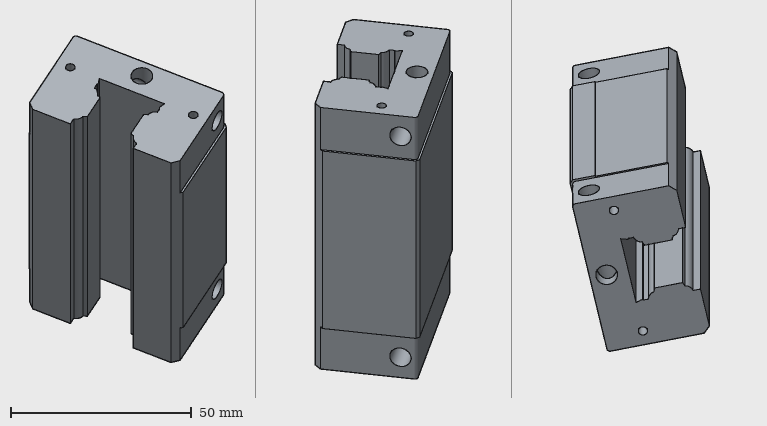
import cadquery as cq
import math

length = 85.6
body_width = 48.0
body_height = 29.9
cap_length = 13.8
cap_width = 46.7
cap_height = 29.3
body_back_chamfer = 0.9
cap_back_radius = 0.9
foot_half_width = 21.5

relief_depth = 0.25
relief_top = 22.6

channel_half_width = 9.8
channel_depth = 18.3
channel_back_half_width = 10.1
lip_half_width = 9.5
lip_y = 16.4
rib_half_width = 6.8
rib_middle_y = 8.4
rib_half_height = 3.9
track_edge_half_width = 7.9
track_edge_offset = 4.4
track_radius = 2.5
track_end_offset = 6.3

port_diameter = 6.0
port_y = 24.5
cross_hole_inset = 6.7

screw_hole_diameter = 2.6
screw_hole_spacing = 38.2
screw_hole_y = 18.3
screw_hole_depth = 8.6
drill_point_angle = 118.0

body_length = length - 2 * cap_length


def block(width, height, block_length):
    """Block centred on Z = 0, standing on Y = 0, its open-side corners cut at 45 degrees."""
    return (
        cq.Workplane("XY")
        .box(width, height, block_length)
        .translate((0, height / 2, 0))
        .edges("|Z and <Y")
        .chamfer(width / 2 - foot_half_width)
    )


def side_relief():
    """Shallow step along the body on the -X side."""
    return (
        cq.Workplane("XY")
        .box(relief_depth, relief_top, body_length)
        .translate(((relief_depth - body_width) / 2, relief_top / 2, 0))
    )


def half_channel():
    """Right half of the rail channel over the full length."""
    chord_x = channel_half_width - track_edge_half_width
    chord_y = track_end_offset - track_edge_offset
    chord = math.hypot(chord_x, chord_y)
    rise = track_radius - math.sqrt(track_radius**2 - (chord / 2) ** 2)
    track_middle_x = (channel_half_width + track_edge_half_width) / 2 - rise * chord_y / chord
    track_middle_offset = (track_edge_offset + track_end_offset) / 2 + rise * chord_x / chord

    return (
        cq.Workplane("XY")
        .moveTo(0, 0)
        .lineTo(channel_half_width, 0)
        .lineTo(channel_half_width, rib_middle_y - track_end_offset)
        .threePointArc(
            (track_middle_x, rib_middle_y - track_middle_offset),
            (track_edge_half_width, rib_middle_y - track_edge_offset),
        )
        .lineTo(rib_half_width, rib_middle_y - rib_half_height)
        .lineTo(rib_half_width, rib_middle_y + rib_half_height)
        .lineTo(track_edge_half_width, rib_middle_y + track_edge_offset)
        .threePointArc(
            (track_middle_x, rib_middle_y + track_middle_offset),
            (channel_half_width, rib_middle_y + track_end_offset),
        )
        .lineTo(channel_half_width, lip_y - (channel_half_width - lip_half_width))
        .lineTo(lip_half_width, lip_y)
        .lineTo(channel_back_half_width, channel_depth)
        .lineTo(0, channel_depth)
        .close()
        .extrude(length / 2, both=True)
    )


def lubrication_holes():
    """Cross hole through the upper cap and the end port that meets it."""
    cross_z = length / 2 - cross_hole_inset
    radius = port_diameter / 2
    axis_point = (0, port_y, cross_z)
    cross_hole = (
        cq.Workplane("YZ", origin=axis_point).circle(radius).extrude(body_width / 2, both=True)
    )
    end_port = cq.Workplane("XY", origin=axis_point).circle(radius).extrude(cross_hole_inset)
    return cross_hole.union(end_port)


def screw_hole(x):
    """Blind hole with a conical bottom in the upper end face."""
    radius = screw_hole_diameter / 2
    point_height = radius / math.tan(math.radians(drill_point_angle / 2))
    return (
        cq.Workplane("XZ", origin=(x, screw_hole_y, length / 2))
        .polyline([
            (0, 0),
            (radius, 0),
            (radius, -screw_hole_depth),
            (0, -screw_hole_depth - point_height),
        ])
        .close()
        .revolve(360, (0, 0, 0), (0, 1, 0))
    )


body = block(body_width, body_height, body_length).edges("|Z and >Y").chamfer(body_back_chamfer)
body = body.cut(side_relief())
caps = block(cap_width, cap_height, length).edges("|Z and >Y").fillet(cap_back_radius)
result = body.union(caps)

channel = half_channel()
result = result.cut(channel).cut(channel.mirror("YZ"))

screw_x = screw_hole_spacing / 2
end_holes = [lubrication_holes(), screw_hole(-screw_x), screw_hole(screw_x)]
for hole in end_holes:
    result = result.cut(hole).cut(hole.mirror("XY"))